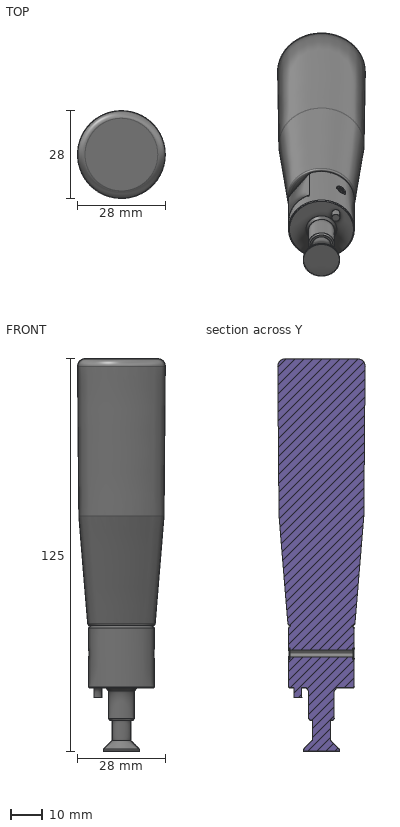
import cadquery as cq

STUD_BOTTOM = -20.2
TOTAL_LENGTH = 125.0
HANDLE_TOP = STUD_BOTTOM + TOTAL_LENGTH

GRIP_TOP_RADIUS = 14.0
GRIP_WAIST_RADIUS = 13.58
GRIP_BOTTOM_RADIUS = 10.7
GRIP_WAIST = 54.8
GRIP_BOTTOM = 19.8
GRIP_TOP_FILLET = 2.4
GRIP_BOTTOM_FILLET = 0.8

HUB_RADIUS = 10.5
HUB_TOP_CHAMFER = 0.7
HUB_BOTTOM_CHAMFER = 0.3
FLAT_OFFSET = 9.0
FLAT_BOTTOM = 4.9

CROSS_HOLE_HEIGHT = 10.9
CROSS_HOLE_DIAMETER = 2.1
CROSS_HOLE_MOUTH_DIAMETER = 3.5
CROSS_HOLE_MOUTH_DEPTH = 0.5

STOP_PIN_DIAMETER = 2.5
STOP_PIN_OFFSET = 7.5
STOP_PIN_LENGTH = 3.1

COLLAR_RADIUS = 8.3 / 2
COLLAR_BOTTOM = -10.3
COLLAR_CHAMFER = 0.5
COLLAR_ROOT_FLARE = 0.75
COLLAR_ROOT_HEIGHT = 1.0
STUD_RADIUS = 3.0
HEAD_RADIUS = 5.77
HEAD_RIM_HEIGHT = 0.7


def make_grip():
    """Solid of revolution with a rounded top edge and a small rounded bottom edge."""
    profile = (
        cq.Workplane("XZ")
        .moveTo(0, GRIP_BOTTOM)
        .lineTo(GRIP_BOTTOM_RADIUS, GRIP_BOTTOM)
        .lineTo(GRIP_WAIST_RADIUS, GRIP_WAIST)
        .lineTo(GRIP_TOP_RADIUS, HANDLE_TOP)
        .lineTo(0, HANDLE_TOP)
        .close()
    )
    grip = profile.revolve(360, (0, 0, 0), (0, 1, 0))
    grip = grip.faces(">Z").edges().fillet(GRIP_TOP_FILLET)
    return grip.faces("<Z").edges().fillet(GRIP_BOTTOM_FILLET)


def make_hub():
    """Cylinder with a flat on +Y that stops above a full-round bottom band."""
    hub = cq.Workplane("XY").circle(HUB_RADIUS).extrude(GRIP_BOTTOM)
    flat_cutter = (
        cq.Workplane("XY", origin=(0, FLAT_OFFSET + HUB_RADIUS, FLAT_BOTTOM))
        .rect(2 * HUB_RADIUS, 2 * HUB_RADIUS)
        .extrude(GRIP_BOTTOM)
    )
    hub = hub.cut(flat_cutter)
    hub = hub.faces(">Z").edges().chamfer(HUB_TOP_CHAMFER)
    return hub.faces("<Z").edges().chamfer(HUB_BOTTOM_CHAMFER)


def make_stud():
    """Collar, thinner shank and a 45 degree conical head, as one revolved profile."""
    head_cone_top = STUD_BOTTOM + HEAD_RIM_HEIGHT + HEAD_RADIUS - STUD_RADIUS
    profile = (
        cq.Workplane("XZ")
        .moveTo(0, STUD_BOTTOM)
        .lineTo(HEAD_RADIUS, STUD_BOTTOM)
        .lineTo(HEAD_RADIUS, STUD_BOTTOM + HEAD_RIM_HEIGHT)
        .lineTo(STUD_RADIUS, head_cone_top)
        .lineTo(STUD_RADIUS, COLLAR_BOTTOM)
        .lineTo(COLLAR_RADIUS - COLLAR_CHAMFER, COLLAR_BOTTOM)
        .lineTo(COLLAR_RADIUS, COLLAR_BOTTOM + COLLAR_CHAMFER)
        .lineTo(COLLAR_RADIUS, -COLLAR_ROOT_HEIGHT)
        .lineTo(COLLAR_RADIUS + COLLAR_ROOT_FLARE, 0)
        .lineTo(0, 0)
        .close()
    )
    return profile.revolve(360, (0, 0, 0), (0, 1, 0))


def make_stop_pin():
    """Small round pin hanging from the hub's lower face."""
    plane = cq.Workplane("XY").center(-STOP_PIN_OFFSET, 0)
    return plane.circle(STOP_PIN_DIAMETER / 2).extrude(-STOP_PIN_LENGTH)


def make_cross_hole():
    """Through bore along X with a wider mouth at each end."""
    plane = cq.Workplane("YZ", origin=(0, 0, CROSS_HOLE_HEIGHT))
    bore = plane.circle(CROSS_HOLE_DIAMETER / 2).extrude(HUB_RADIUS, both=True)
    mouths = plane.circle(CROSS_HOLE_MOUTH_DIAMETER / 2).extrude(HUB_RADIUS, both=True)
    core = plane.circle(HUB_RADIUS).extrude(HUB_RADIUS - CROSS_HOLE_MOUTH_DEPTH, both=True)
    return bore.union(mouths.cut(core))


result = (
    make_grip()
    .union(make_hub())
    .union(make_stud())
    .union(make_stop_pin())
    .cut(make_cross_hole())
)